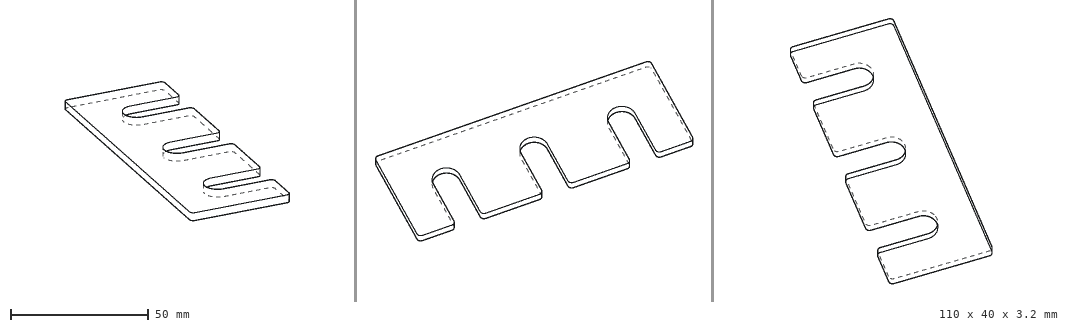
import cadquery as cq

length = 110.0
width = 40.0
thickness = 3.2
corner_radius = 1.5

slot_count = 3
slot_pitch = 35.0
slot_width = 10.5
slot_depth = 25.3

slot_radius = slot_width / 2
back_edge = width / 2
slot_center_y = back_edge - slot_depth + slot_radius


def slot_cutter(center_x):
    """Round-bottomed slot that opens through the back edge."""
    straight_length = back_edge - slot_center_y
    round_end = cq.Workplane("XY").center(center_x, slot_center_y).circle(slot_radius).extrude(thickness)
    straight = (
        cq.Workplane("XY")
        .center(center_x, slot_center_y + straight_length / 2)
        .rect(slot_width, straight_length)
        .extrude(thickness)
    )
    return round_end.union(straight)


plate = cq.Workplane("XY").rect(length, width).extrude(thickness)

for index in range(slot_count):
    slot_x = (index - (slot_count - 1) / 2) * slot_pitch
    plate = plate.cut(slot_cutter(slot_x))

result = (
    plate.edges("|Z and (>Y or <Y)")
    .fillet(corner_radius)
)